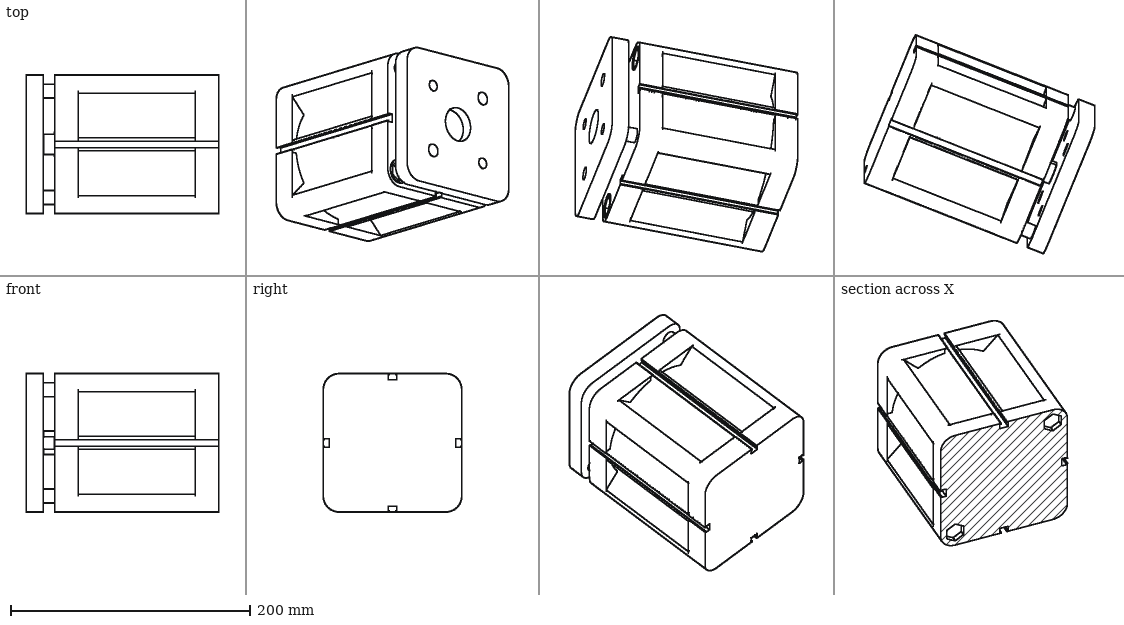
import cadquery as cq
import math

total_length = 161.0
side = 116.0
corner_radius = 13.5
half_side = side / 2
corner_offset = half_side - corner_radius

plate_thickness = 14.3
housing_start = 23.8
cap_length = 19.8
barrel_start = housing_start + cap_length
barrel_length = total_length - housing_start - 2 * cap_length
gap = housing_start - plate_thickness

bore_diameter = 28.7
bore_depth = 9.0
hole_offset = 28.2
mount_hole_diameter = 10.6
small_hole_diameter = 8.9

piston_diameter = 20.0
piston_chamfer = 0.3
flat_width = 17.0
flat_gap = 0.5
guide_diameter = 11.9

tube_radius = 53.6
post_width = 21.3
rail_width = 10.6
valley_fillet = 1.0
rail_root_fillet = 0.8
rail_top_fillet = 0.8

slot_neck_width = 5.5
slot_lip = 1.1
slot_cavity_width = 7.1
slot_depth = 5.2
slot_mouth_fillet = 0.6

socket_rim_diameter = 20.3
socket_rim_depth = 0.5
socket_across_flats = 14.8
socket_depth = 9.2

match_tolerance = 0.02

guide_corners = [(corner_offset, corner_offset), (-corner_offset, -corner_offset)]
socket_corners = [(-corner_offset, corner_offset), (corner_offset, -corner_offset)]


def section_plane(x):
    """Workplane across the part at x, with Y to the right and Z up."""
    return cq.Workplane("YZ", origin=(x, 0, 0))


def rounded_block(x, length):
    return section_plane(x).rect(side, side).extrude(length).edges("|X").fillet(corner_radius)


def make_front_plate():
    plate = rounded_block(0, plate_thickness)
    bore = section_plane(0).circle(bore_diameter / 2).extrude(bore_depth)
    mount_holes = (
        section_plane(0)
        .pushPoints([(-hole_offset, hole_offset), (hole_offset, -hole_offset)])
        .circle(mount_hole_diameter / 2)
        .extrude(plate_thickness)
    )
    small_holes = (
        section_plane(0)
        .pushPoints([(hole_offset, hole_offset), (-hole_offset, -hole_offset)])
        .circle(small_hole_diameter / 2)
        .extrude(plate_thickness)
    )
    return plate.cut(bore).cut(mount_holes).cut(small_holes)


def make_piston_rod():
    rod = section_plane(plate_thickness).circle(piston_diameter / 2).extrude(gap)
    rod = rod.faces("<X").chamfer(piston_chamfer)
    flat_envelope = (
        section_plane(plate_thickness).rect(flat_width, piston_diameter).extrude(gap - flat_gap)
    )
    collar = section_plane(housing_start - flat_gap).circle(piston_diameter / 2).extrude(flat_gap)
    return rod.intersect(flat_envelope.union(collar))


def make_guide_rod(y, z):
    return section_plane(plate_thickness).center(y, z).circle(guide_diameter / 2).extrude(gap)


def make_post():
    """Post from the axis to the +Y +Z corner, its outer end rounded like the cap corners."""
    plane = section_plane(barrel_start)
    centre_distance = corner_offset * math.sqrt(2)
    reach = centre_distance + corner_radius
    bar = plane.center(reach / 2, 0).rect(reach, post_width).extrude(barrel_length)
    inner_bar = plane.center(centre_distance / 2, 0).rect(centre_distance, post_width)
    inner_bar = inner_bar.extrude(barrel_length)
    round_end = plane.center(centre_distance, 0).circle(corner_radius).extrude(barrel_length)
    return bar.intersect(inner_bar.union(round_end)).rotate((0, 0, 0), (1, 0, 0), 45)


def make_barrel():
    plane = section_plane(barrel_start)
    barrel = plane.circle(tube_radius).extrude(barrel_length)
    for angle in (0, 90):
        rail_bar = plane.rect(rail_width, side).extrude(barrel_length)
        barrel = barrel.union(rail_bar.rotate((0, 0, 0), (1, 0, 0), angle))
    for angle in (0, 90, 180, 270):
        barrel = barrel.union(make_post().rotate((0, 0, 0), (1, 0, 0), angle))

    def long_edges(on_tube, near_rail):
        """Edges along X, chosen by whether they lie on the tube and beside a rail."""

        def wanted(edge):
            y, z = abs(edge.Center().y), abs(edge.Center().z)
            tube_edge = math.isclose(math.hypot(y, z), tube_radius, abs_tol=match_tolerance)
            rail_edge = math.isclose(min(y, z), rail_width / 2, abs_tol=match_tolerance)
            return tube_edge == on_tube and rail_edge == near_rail

        return wanted

    for radius, on_tube, near_rail in (
        (valley_fillet, True, False),
        (rail_root_fillet, True, True),
        (rail_top_fillet, False, True),
    ):
        barrel = barrel.edges("|X").filter(long_edges(on_tube, near_rail)).fillet(radius)
    return barrel


def cut_slots(block):
    """Cut a T-slot through the full length of the block along the middle of each long side."""
    box = block.val().BoundingBox()
    cavity_height = slot_depth - slot_lip
    plane = section_plane(box.xmin)
    neck = plane.center(0, half_side - slot_depth / 2)
    neck = neck.rect(slot_neck_width, slot_depth).extrude(box.xlen)
    cavity = plane.center(0, half_side - slot_depth + cavity_height / 2)
    cavity = cavity.rect(slot_cavity_width, cavity_height).extrude(box.xlen)
    slot = neck.union(cavity)
    for angle in (0, 90, 180, 270):
        block = block.cut(slot.rotate((0, 0, 0), (1, 0, 0), angle))
    return block


def round_slot_mouths(barrel):
    """Round the two outer edges of each slot opening."""

    def at_mouth(edge):
        inner, outer = sorted((abs(edge.Center().y), abs(edge.Center().z)))
        on_neck = math.isclose(inner, slot_neck_width / 2, abs_tol=match_tolerance)
        on_outside = math.isclose(outer, half_side, abs_tol=match_tolerance)
        return on_neck and on_outside

    return barrel.edges("|X").filter(at_mouth).fillet(slot_mouth_fillet)


def make_sockets():
    corners = section_plane(housing_start).pushPoints(socket_corners)
    rims = corners.circle(socket_rim_diameter / 2).extrude(socket_rim_depth)
    hexagon_diameter = socket_across_flats / math.cos(math.pi / 6)
    hexagon = section_plane(housing_start).polygon(6, hexagon_diameter).extrude(socket_depth)
    hexagon = hexagon.rotate((0, 0, 0), (1, 0, 0), 90)
    sockets = rims
    for y, z in socket_corners:
        sockets = sockets.union(hexagon.translate((0, y, z)))
    return sockets


def make_housing():
    front_cap = cut_slots(rounded_block(housing_start, cap_length))
    rear_cap = cut_slots(rounded_block(total_length - cap_length, cap_length))
    barrel = round_slot_mouths(cut_slots(make_barrel()))
    housing = barrel.union(front_cap, clean=False).union(rear_cap, clean=False)
    return housing.cut(make_sockets(), clean=False)


front_plate = make_front_plate()
piston_rod = make_piston_rod()
guide_rods = [make_guide_rod(y, z) for y, z in guide_corners]
housing = make_housing()

result = cq.Compound.makeCompound(
    [
        front_plate.val(),
        piston_rod.val(),
        *[rod.val() for rod in guide_rods],
        housing.val(),
    ]
)